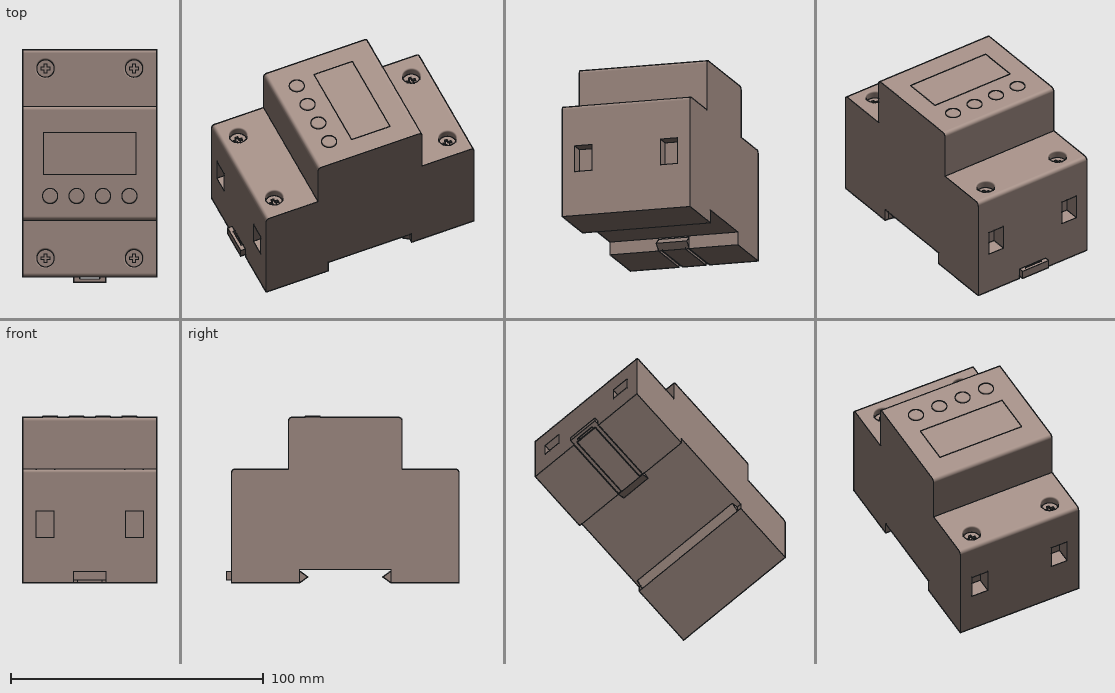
import cadquery as cq

WIDTH = 53.0
BASE_LENGTH = 90.0
SHOULDER_HEIGHT = 45.0
UPPER_LENGTH = BASE_LENGTH / 2
TOP_HEIGHT = 65.5
EDGE_FILLET = 1.5
FRONT_Y = -BASE_LENGTH / 2

RAIL_LENGTH = 36.0
RAIL_DEPTH = 5.2
CATCH_REACH = 3.2
CATCH_BOTTOM = 0.0
CATCH_TOP = 4.7
FIXED_CATCH_INSET = 1.7
FIXED_CATCH_WIDTH = WIDTH - 2 * FIXED_CATCH_INSET

TAB_WIDTH = 12.7
TAB_REACH = 2.0
TAB_TOP = 4.6
TAB_HEIGHT = 3.5
TAB_BOTTOM = TAB_TOP - TAB_HEIGHT
TAB_SLOT_WIDTH = 7.8
TAB_SLOT_DEPTH = 0.7
TAB_SLOT_INSET = 1.0
GUIDE_WIDTH = 1.6
GUIDE_X = (TAB_WIDTH - GUIDE_WIDTH) / 2
GUIDE_LENGTH = (BASE_LENGTH - RAIL_LENGTH) / 2

SCREW_X = 17.5
SCREW_Y = 37.5
SCREW_BORE = 6.9
SCREW_DEPTH = 3.0
BORE_RIM_FILLET = 0.65
CROSS_LENGTH = 3.5
CROSS_ARM = 1.1
CROSS_DEPTH = 1.0

ENTRY_X = 17.75
ENTRY_WIDTH = 7.1
ENTRY_HEIGHT = 10.5
ENTRY_BOTTOM = 18.0
ENTRY_DEPTH = 6.4

DISPLAY_WIDTH = 36.6
DISPLAY_LENGTH = 16.6
DISPLAY_Y = 4.0
DISPLAY_DEPTH = 0.1

BUTTON_COUNT = 4
BUTTON_PITCH = 10.45
BUTTON_Y = -12.9
BUTTON_DIAMETER = 6.0
BUTTON_HEIGHT = 0.5
BUTTON_FILLET = 0.45


def mirrored_points(x, y):
    """The four points at plus and minus x and y."""
    return [(sx * x, sy * y) for sx in (-1, 1) for sy in (-1, 1)]


def block(width, length, height, x, y, bottom):
    """A box centred on x and y, standing on the height 'bottom'."""
    box = cq.Workplane("XY").box(width, length, height, centered=(True, True, False))
    return box.translate((x, y, bottom))


def make_housing():
    """Two stacked blocks with rounded upper edges along X, cut by the rail channel."""
    base = block(WIDTH, BASE_LENGTH, SHOULDER_HEIGHT, 0, 0, 0)
    base = base.faces(">Z").edges("|X").fillet(EDGE_FILLET)
    upper = block(WIDTH, UPPER_LENGTH, TOP_HEIGHT, 0, 0, 0)
    upper = upper.faces(">Z").edges("|X").fillet(EDGE_FILLET)
    channel = block(WIDTH, RAIL_LENGTH, RAIL_DEPTH, 0, 0, 0)
    return base.union(upper).cut(channel)


def make_catch(side, width):
    """A triangular ridge on the channel wall at +Y (side 1) or -Y (side -1)."""
    wall_y = side * RAIL_LENGTH / 2
    tip_y = wall_y - side * CATCH_REACH
    tip_z = (CATCH_BOTTOM + CATCH_TOP) / 2
    outline = [(wall_y, CATCH_BOTTOM), (wall_y, CATCH_TOP), (tip_y, tip_z)]
    return cq.Workplane("YZ").polyline(outline).close().extrude(width / 2, both=True)


def make_tab():
    """The plain pull tab."""
    return block(TAB_WIDTH, TAB_REACH, TAB_HEIGHT, 0, FRONT_Y - TAB_REACH / 2, TAB_BOTTOM)


def cut_tab_slot(body):
    """A slot down through the tab, reaching a little way into the front wall behind it."""
    slot_length = TAB_SLOT_DEPTH + TAB_SLOT_INSET
    slot_y = FRONT_Y - TAB_SLOT_DEPTH + slot_length / 2
    return body.cut(block(TAB_SLOT_WIDTH, slot_length, TAB_HEIGHT, 0, slot_y, TAB_BOTTOM))


def cut_guides(body):
    """Grooves in the underside, from the front wall to the rail channel."""
    for side in (-1, 1):
        guide_y = FRONT_Y + GUIDE_LENGTH / 2
        body = body.cut(block(GUIDE_WIDTH, GUIDE_LENGTH, TAB_BOTTOM, side * GUIDE_X, guide_y, 0))
    return body


def make_screw_recess():
    """A round bore with a flared, rounded rim and a cross slot in its floor, at X = Y = 0."""
    radius = SCREW_BORE / 2
    floor_z = SHOULDER_HEIGHT - SCREW_DEPTH
    rim_radius = radius + BORE_RIM_FILLET
    rim_z = SHOULDER_HEIGHT - BORE_RIM_FILLET
    middle_offset = BORE_RIM_FILLET / 2 ** 0.5
    bore = (
        cq.Workplane("XZ")
        .moveTo(0, floor_z)
        .lineTo(radius, floor_z)
        .lineTo(radius, rim_z)
        .threePointArc((rim_radius - middle_offset, rim_z + middle_offset), (rim_radius, SHOULDER_HEIGHT))
        .lineTo(0, SHOULDER_HEIGHT)
        .close()
        .revolve(360, (0, 0, 0), (0, 1, 0))
    )
    cross_z = floor_z - CROSS_DEPTH
    along_x = block(CROSS_LENGTH, CROSS_ARM, CROSS_DEPTH, 0, 0, cross_z)
    along_y = block(CROSS_ARM, CROSS_LENGTH, CROSS_DEPTH, 0, 0, cross_z)
    return bore.union(along_x).union(along_y)


def cut_screws(body):
    """Sink one screw recess near each corner of the shoulders."""
    recess = make_screw_recess()
    for x, y in mirrored_points(SCREW_X, SCREW_Y):
        body = body.cut(recess.translate((x, y, 0)))
    return body


def cut_cable_entries(body):
    """Rectangular blind pockets below the screws."""
    for x, y in mirrored_points(ENTRY_X, (BASE_LENGTH - ENTRY_DEPTH) / 2):
        body = body.cut(block(ENTRY_WIDTH, ENTRY_DEPTH, ENTRY_HEIGHT, x, y, ENTRY_BOTTOM))
    return body


def cut_display(body):
    """The shallow display window."""
    floor_z = TOP_HEIGHT - DISPLAY_DEPTH
    return body.cut(block(DISPLAY_WIDTH, DISPLAY_LENGTH, DISPLAY_DEPTH, 0, DISPLAY_Y, floor_z))


def make_buttons():
    """Low discs with rounded rims, in a row along X."""
    return (
        cq.Workplane("XY", origin=(0, BUTTON_Y, TOP_HEIGHT))
        .rarray(BUTTON_PITCH, 1, BUTTON_COUNT, 1)
        .circle(BUTTON_DIAMETER / 2)
        .extrude(BUTTON_HEIGHT)
        .faces(">Z")
        .edges()
        .fillet(BUTTON_FILLET)
    )


body = make_housing()
body = cut_guides(body)
body = cut_screws(body)
body = cut_cable_entries(body)
body = cut_display(body)
body = body.union(make_catch(1, FIXED_CATCH_WIDTH))
body = body.union(make_catch(-1, TAB_WIDTH))
body = cut_tab_slot(body.union(make_tab()))
result = body.union(make_buttons())